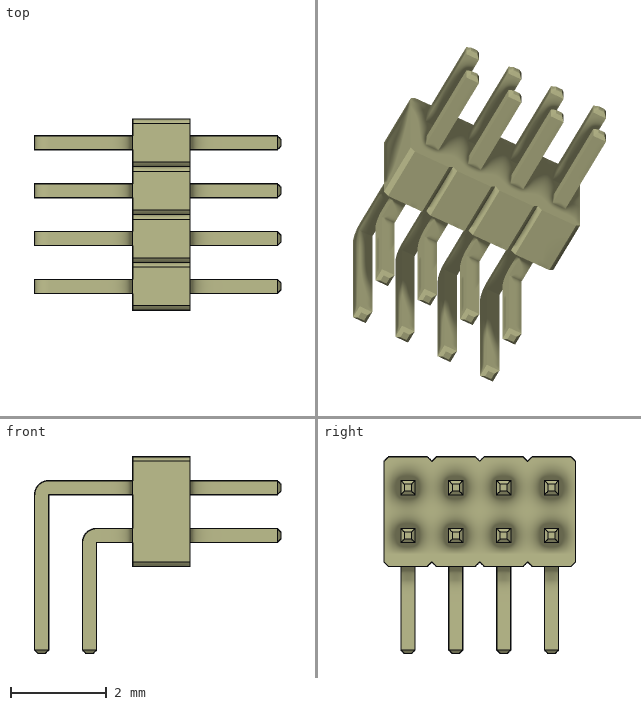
import cadquery as cq

total_length = 5.15
housing_width = 4.0
total_height = 4.12

column_count = 4
row_count = 2
pitch = housing_width / column_count

housing_length = 1.2
housing_height = 2.3
housing_start = 2.05
housing_bottom = total_height - housing_height
notch_size = 0.1

pin_size = 0.3
bend_radius = pin_size
tip_chamfer = 0.075
pin_margin = (housing_height - (row_count - 1) * pitch - pin_size) / 2
top_pin_height = total_height - pin_margin


def housing_side(edge_z, inward):
    """Points along one long edge from -Y to +Y, chamfered at both ends and at each V notch."""
    points = []
    for column in range(column_count):
        cell_start = -housing_width / 2 + column * pitch
        cell_end = cell_start + pitch
        points.append((cell_start, edge_z + inward * notch_size))
        points.append((cell_start + notch_size, edge_z))
        points.append((cell_end - notch_size, edge_z))
    points.append((housing_width / 2, edge_z + inward * notch_size))
    return points


def make_housing():
    bottom = housing_side(housing_bottom, 1)
    top = housing_side(total_height, -1)
    outline = bottom + top[::-1]
    return (
        cq.Workplane("YZ", origin=(housing_start, 0, 0))
        .polyline(outline)
        .close()
        .extrude(housing_length)
    )


def make_pin(row, column_y):
    """An L-shaped pin; each lower row is one pitch further in along both legs."""
    leg_x = row * pitch
    top_z = top_pin_height - row * pitch
    pin = (
        cq.Workplane("XZ", origin=(0, column_y, 0))
        .moveTo(leg_x, 0)
        .lineTo(leg_x, top_z - bend_radius)
        .radiusArc((leg_x + bend_radius, top_z), bend_radius)
        .lineTo(total_length, top_z)
        .lineTo(total_length, top_z - pin_size)
        .lineTo(leg_x + pin_size, top_z - pin_size)
        .lineTo(leg_x + pin_size, 0)
        .close()
        .extrude(pin_size / 2, both=True)
    )
    return pin.faces(">X or <Z").chamfer(tip_chamfer)


result = make_housing()
for row in range(row_count):
    for column in range(column_count):
        column_y = (column - (column_count - 1) / 2) * pitch
        result = result.union(make_pin(row, column_y))